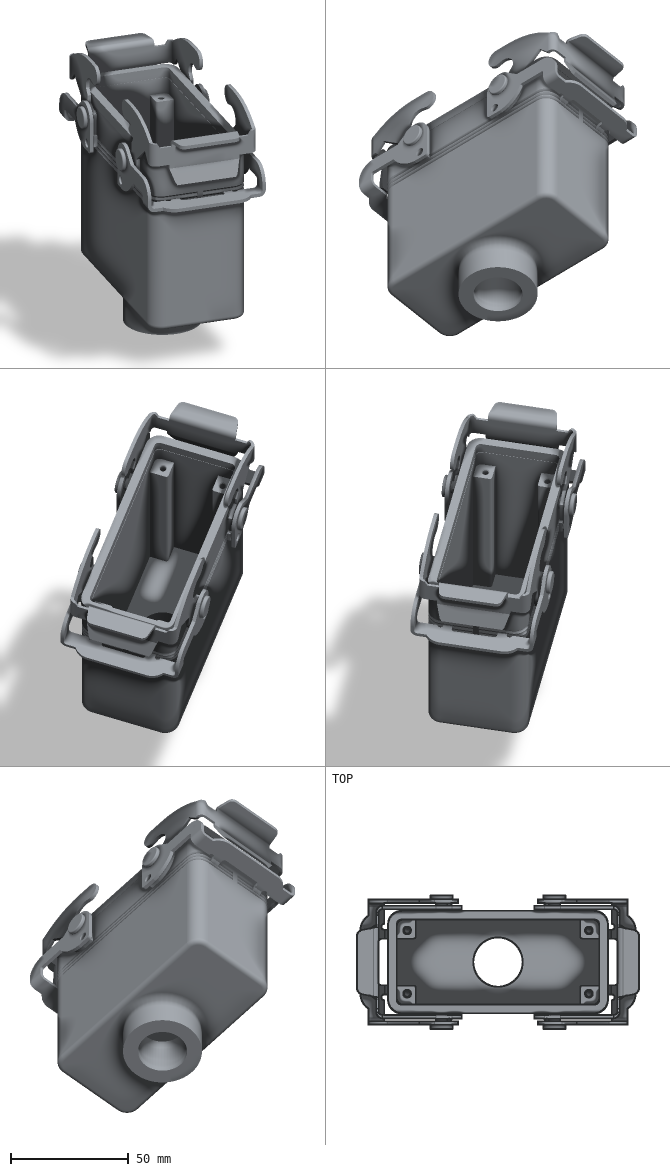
import cadquery as cq
import math


HOUSING_LENGTH = 93.3
HOUSING_WIDTH = 43.4
HOUSING_BOTTOM = 16.2
HOUSING_TOP = 96.7
CORNER_RADIUS = 6.2
BOTTOM_FILLET = 2.0
WALL = 3.7
FLOOR = 4.0
RIM_HEIGHT = 4.7
RIM_STEP = 0.1
RIM_CORNER_STEP = 0.4

SPIGOT_RADIUS = 16.8
SPIGOT_FILLET = 2.4
BORE_RADIUS = 10.4

BOSS_SIZE = 8.0
BOSS_DROP = 11.9
BOSS_CORNER_RADIUS = 1.1
SCREW_X = 38.6
SCREW_Y = 13.4
SCREW_HOLE_RADIUS = 1.7
SCREW_HOLE_DEPTH = 14.4
SCREW_CONE_DEPTH = 1.0
SCREW_CHAMFER = 0.4

GROOVE_COUNT = 3
GROOVE_TOP = 78.3
GROOVE_PITCH = 2.0
GROOVE_WIDTH = 1.7
GROOVE_DEPTH = 0.7
GROOVE_FLOOR = 0.2
GROOVE_BREAK = 2.5

PIVOT_X = -24.0
PIVOT_Z = 87.8
SHEET = 1.5

LATCH_HALF_WIDTH = 24.0
LATCH_OUTER_X = -51.8
LATCH_WEB = 1.1
LATCH_BEND_RADIUS = 3.0
LATCH_INNER_BEND = 1.4
LATCH_TOP = 105.3
LATCH_BOTTOM = 95.0
LEG_BOTTOM = 75.6
WEB_TOP = 103.3
WEB_TOP_HALF_WIDTH = 19.9
WEB_RELIEF_HALF_WIDTH = 21.2

HOOK_TOP = 113.0
HOOK_BACK_START = (-26.4, HOOK_TOP)
HOOK_BACK_END = (-49.2, LATCH_TOP)
HOOK_TIP_X = -19.7
HOOK_TIP_RADIUS = 4.3
BAY_START = (-29.2, 99.0)
BAY_MIDDLE = (-27.5, 103.7)
BAY_END = (-22.2, 105.0)
NOTCH_FOOT = (-48.0, LATCH_BOTTOM)
NOTCH_APEX = (-43.8, 99.5)
LEG_REAR_X = -33.4
LEG_REAR_TOP = 91.2
LEG_REAR_BOTTOM = 86.1
LEG_ARC_MIDDLE = (-30.6, 79.0)
LEG_SHANK_X = -20.6
LEG_FOOT_X = -19.1
LEG_FOOT_TOP = 80.6
LEG_SHOULDER_Z = 90.0
NECK_X = -27.0
NECK_TOP = 96.2
NECK_BOTTOM = 92.4

TAB_TIP_X = -60.0
TAB_TOP = 106.4
TAB_HALF_WIDTH = 14.9
TAB_TIP_HALF_WIDTH = 13.2
TAB_CORNER_RADIUS = 2.6
TAB_BEND_RADIUS = 2.3
TAB_OVERLAP = 2.4

LIP_BEND_Z = 93.2
LIP_TIP_X = -55.1
LIP_TIP_Z = 86.5
LIP_TIP_WIDTH = 1.5
LIP_TIP_DROP = 0.6
LIP_HALF_WIDTH = 15.8
LIP_TIP_HALF_WIDTH = 12.8
LIP_CHAMFER_HALF_WIDTH = 14.0
LIP_CHAMFER_Z = 87.6

BAIL_HALF_WIDTH = 26.6
BAIL_OUTER_X = -55.1
BAIL_INNER_X = -48.3
BAIL_BOTTOM = 75.6
BAIL_BEND_RADIUS = 3.0
ARM_TOP = 88.9
ARM_UNDERSIDE = 81.8
ARM_SHOULDER_RADIUS = 7.9
ARM_INNER_RADIUS = 1.0
EYE_RADIUS = 7.1
EYE_RAMP_X = -33.5
EYE_START = (-27.0, 94.2)
LOBE_BOTTOM = 73.5
LOBE_ARC_MIDDLE = (-31.1, 76.4)
LOBE_ARC_END_X = -35.6
LOBE_CORNER_RADIUS = 1.2

STRIP_BULGE_X = -58.5
STRIP_BULGE_START = 19.8
STRIP_BULGE_MIDDLE = (-57.5, 17.3)
STRIP_BULGE_END = 12.6
STRIP_SLOT_X = -50.7
STRIP_SLOT_RADIUS = 1.2
FINGER_INNER_Y = 9.8
FINGER_OUTER_Y = 13.8
FINGER_TIP_X = -HOUSING_LENGTH / 2
FINGER_BEND_X = -48.1
FINGER_DROP = 0.8
NOTCH_RADIUS = 1.2

OVERALL_WIDTH = 57.0
PIN_RADIUS = 2.5
PIN_HEAD_RADIUS = 4.8
PIN_HEAD_END = OVERALL_WIDTH / 2
PIN_HEAD_FILLET = 0.5
PIN_STUD_RADIUS = 1.5

DETENT_X = -21.0
DETENT_Z = 77.0
DETENT_BASE_RADIUS = 1.4
DETENT_TOP_RADIUS = 1.0
DETENT_HOLE_RADIUS = 1.9

RIM_BOTTOM = HOUSING_TOP - RIM_HEIGHT
BOSS_TOP = HOUSING_TOP - BOSS_DROP
FLOOR_TOP = HOUSING_BOTTOM + FLOOR
CAVITY_LENGTH = HOUSING_LENGTH - 2 * WALL
CAVITY_WIDTH = HOUSING_WIDTH - 2 * WALL
PIVOT_XS = (PIVOT_X, -PIVOT_X)
BAIL_INSIDE = BAIL_HALF_WIDTH - SHEET
LATCH_INSIDE = LATCH_HALF_WIDTH - SHEET
LATCH_INNER_X = LATCH_OUTER_X + LATCH_WEB
CLEAR = 1.2


def rounded_block(length, width, bottom, top, radius):
    """Upright block centred on the Z axis with rounded vertical edges."""
    block = cq.Workplane("XY").workplane(offset=bottom).rect(length, width).extrude(top - bottom)
    return block.edges("|Z").fillet(radius)


def block_between(x0, x1, y0, y1, z0, z1):
    return cq.Workplane("XY").box(x1 - x0, y1 - y0, z1 - z0, centered=False).translate((x0, y0, z0))


def cylinder_y(x, z, radius, y_start, y_end):
    """Cylinder along Y from y_start to y_end."""
    start = cq.Vector(x, y_start, z)
    return cq.Workplane(cq.Solid.makeCylinder(radius, y_end - y_start, start, cq.Vector(0, 1, 0)))


def both_sides(solid):
    """The solid together with its mirror image in the XZ plane."""
    return solid.union(solid.mirror("XZ"))


def housing_shell():
    body = rounded_block(HOUSING_LENGTH, HOUSING_WIDTH, HOUSING_BOTTOM, RIM_BOTTOM, CORNER_RADIUS)
    body = body.faces("<Z").edges().fillet(BOTTOM_FILLET)
    rim = rounded_block(
        HOUSING_LENGTH + 2 * RIM_STEP,
        HOUSING_WIDTH + 2 * RIM_STEP,
        RIM_BOTTOM,
        HOUSING_TOP,
        CORNER_RADIUS - RIM_CORNER_STEP,
    )
    spigot = cq.Workplane("XY").circle(SPIGOT_RADIUS).extrude(FLOOR_TOP)
    body = body.union(spigot)
    neck = cq.selectors.BoxSelector(
        (-SPIGOT_RADIUS - CLEAR, -SPIGOT_RADIUS - CLEAR, HOUSING_BOTTOM - CLEAR),
        (SPIGOT_RADIUS + CLEAR, SPIGOT_RADIUS + CLEAR, HOUSING_BOTTOM + CLEAR),
    )
    return body.edges(neck).fillet(SPIGOT_FILLET).union(rim)


def cavity():
    radius = CORNER_RADIUS - WALL
    lower = rounded_block(CAVITY_LENGTH, CAVITY_WIDTH, FLOOR_TOP, RIM_BOTTOM, radius)
    upper = rounded_block(
        CAVITY_LENGTH + 2 * RIM_STEP,
        CAVITY_WIDTH + 2 * RIM_STEP,
        RIM_BOTTOM,
        HOUSING_TOP,
        radius - RIM_CORNER_STEP,
    )
    return lower.union(upper)


def corner_points(x, y):
    return [(side_x * x, side_y * y) for side_x in (-1, 1) for side_y in (-1, 1)]


def screw_bosses():
    """Square columns centred on the cavity corners; the quarter inside the cavity is the boss."""
    columns = cq.Workplane("XY").workplane(offset=HOUSING_BOTTOM)
    columns = columns.pushPoints(corner_points(CAVITY_LENGTH / 2, CAVITY_WIDTH / 2))
    columns = columns.rect(2 * BOSS_SIZE, 2 * BOSS_SIZE).extrude(BOSS_TOP - HOUSING_BOTTOM)
    return columns.edges("|Z").fillet(BOSS_CORNER_RADIUS)


def screw_holes():
    """Chamfered blind holes with a drill-point bottom."""
    hole_bottom = BOSS_TOP - SCREW_HOLE_DEPTH
    core_radius = SCREW_HOLE_RADIUS - SCREW_CHAMFER
    half_section = [
        (0, BOSS_TOP),
        (SCREW_HOLE_RADIUS, BOSS_TOP),
        (core_radius, BOSS_TOP - SCREW_CHAMFER),
        (core_radius, hole_bottom),
        (0, hole_bottom - SCREW_CONE_DEPTH),
    ]
    drill = cq.Workplane("XZ").polyline(half_section).close().revolve(360, (0, 0), (0, 1)).val()
    return cq.Workplane("XY").pushPoints(corner_points(SCREW_X, SCREW_Y)).eachpoint(drill.moved)


def groove_cutter(bottom):
    """One trapezoidal ring groove: a block around a core that narrows to the groove floor."""
    bevel = (GROOVE_WIDTH - GROOVE_FLOOR) / 2
    taper = math.degrees(math.atan(GROOVE_DEPTH / bevel))
    outline = cq.Sketch().rect(HOUSING_LENGTH, HOUSING_WIDTH).vertices().fillet(CORNER_RADIUS)
    flare = cq.Workplane("XY").workplane(offset=bottom).placeSketch(outline).extrude(bevel, taper=taper)
    middle = bottom + GROOVE_WIDTH / 2
    waist = rounded_block(
        HOUSING_LENGTH - 2 * GROOVE_DEPTH,
        HOUSING_WIDTH - 2 * GROOVE_DEPTH,
        bottom,
        bottom + GROOVE_WIDTH,
        CORNER_RADIUS - GROOVE_DEPTH,
    )
    core = waist.union(flare).union(flare.mirror("XY", (0, 0, middle)))
    ring = rounded_block(
        HOUSING_LENGTH + CLEAR, HOUSING_WIDTH + CLEAR, bottom, bottom + GROOVE_WIDTH, CORNER_RADIUS
    )
    return ring.cut(core)


def cut_grooves(housing):
    """Stacked grooves around the housing, broken at the middle of each end."""
    gap = cq.Workplane("XY").box(2 * HOUSING_LENGTH, GROOVE_BREAK, 2 * HOUSING_TOP)
    for index in range(GROOVE_COUNT):
        bottom = GROOVE_TOP - GROOVE_WIDTH - index * GROOVE_PITCH
        housing = housing.cut(groove_cutter(bottom).cut(gap))
    return housing


def make_housing():
    housing = housing_shell().cut(cavity().cut(screw_bosses()))
    housing = housing.cut(cq.Workplane("XY").circle(BORE_RADIUS).extrude(FLOOR_TOP))
    housing = cut_grooves(housing.cut(screw_holes()))
    for x in PIVOT_XS:
        housing = housing.cut(cylinder_y(x, PIVOT_Z, PIN_STUD_RADIUS, -HOUSING_WIDTH, HOUSING_WIDTH))
    return housing


def latch_side_profile():
    tip_z = HOOK_TOP - HOOK_TIP_RADIUS
    outline = (
        cq.Workplane("XZ")
        .moveTo(HOOK_TIP_X, HOOK_TOP)
        .lineTo(*HOOK_BACK_START)
        .tangentArcPoint(HOOK_BACK_END, relative=False)
        .lineTo(LATCH_OUTER_X, LATCH_TOP)
        .lineTo(LATCH_OUTER_X, LATCH_BOTTOM)
        .lineTo(*NOTCH_FOOT)
        .lineTo(*NOTCH_APEX)
        .lineTo(LEG_REAR_X, LEG_REAR_TOP)
        .lineTo(LEG_REAR_X, LEG_REAR_BOTTOM)
        .threePointArc(LEG_ARC_MIDDLE, (PIVOT_X, LEG_BOTTOM))
        .lineTo(LEG_FOOT_X, LEG_BOTTOM)
        .lineTo(LEG_FOOT_X, LEG_FOOT_TOP)
        .lineTo(LEG_SHANK_X, LEG_FOOT_TOP)
        .lineTo(LEG_SHANK_X, LEG_SHOULDER_Z)
        .lineTo(NECK_X, NECK_BOTTOM)
        .lineTo(NECK_X, NECK_TOP)
        .lineTo(*BAY_START)
        .threePointArc(BAY_MIDDLE, BAY_END)
        .lineTo(HOOK_TIP_X, tip_z - HOOK_TIP_RADIUS)
        .threePointArc((HOOK_TIP_X + HOOK_TIP_RADIUS, tip_z), (HOOK_TIP_X, HOOK_TOP))
        .close()
    )
    return outline.extrude(LATCH_HALF_WIDTH, both=True)


def latch_bracket():
    outer = block_between(LATCH_OUTER_X, 0, -LATCH_HALF_WIDTH, LATCH_HALF_WIDTH, 0, HOOK_TOP)
    outer = outer.edges("|Z and <X").fillet(LATCH_BEND_RADIUS)
    inner = block_between(LATCH_INNER_X, 0, -LATCH_INSIDE, LATCH_INSIDE, 0, HOOK_TOP)
    inner = inner.edges("|Z and <X").fillet(LATCH_INNER_BEND)
    relief = (
        cq.Workplane("YZ")
        .workplane(offset=LATCH_OUTER_X)
        .polyline(
            [
                (-WEB_TOP_HALF_WIDTH, WEB_TOP),
                (WEB_TOP_HALF_WIDTH, WEB_TOP),
                (WEB_RELIEF_HALF_WIDTH, LATCH_TOP),
                (-WEB_RELIEF_HALF_WIDTH, LATCH_TOP),
            ]
        )
        .close()
        .extrude(LATCH_BEND_RADIUS)
    )
    return outer.cut(inner).intersect(latch_side_profile()).cut(relief)


def latch_tab():
    """Finger tab bent outward from the top of the web."""
    section = (
        cq.Workplane("XZ")
        .polyline(
            [
                (TAB_TIP_X, TAB_TOP),
                (LATCH_INNER_X, TAB_TOP),
                (LATCH_INNER_X, WEB_TOP - TAB_OVERLAP),
                (LATCH_OUTER_X, WEB_TOP - TAB_OVERLAP),
                (LATCH_OUTER_X, TAB_TOP - SHEET),
                (TAB_TIP_X, TAB_TOP - SHEET),
            ]
        )
        .close()
        .extrude(TAB_HALF_WIDTH, both=True)
        .edges("|Y and >X and >Z")
        .fillet(TAB_BEND_RADIUS)
    )
    inside_bend = cq.selectors.NearestToPointSelector((LATCH_OUTER_X, 0, TAB_TOP - SHEET))
    section = section.edges("|Y").edges(inside_bend).fillet(TAB_BEND_RADIUS - SHEET)
    plan = (
        cq.Workplane("XY")
        .polyline(
            [
                (TAB_TIP_X, -TAB_TIP_HALF_WIDTH),
                (LATCH_OUTER_X, -TAB_HALF_WIDTH),
                (LATCH_INNER_X, -TAB_HALF_WIDTH),
                (LATCH_INNER_X, TAB_HALF_WIDTH),
                (LATCH_OUTER_X, TAB_HALF_WIDTH),
                (TAB_TIP_X, TAB_TIP_HALF_WIDTH),
            ]
        )
        .close()
        .extrude(HOOK_TOP)
        .edges("|Z and <X")
        .fillet(TAB_CORNER_RADIUS)
    )
    return section.intersect(plan)


def latch_lip():
    """Sloping lip below the web."""
    section = (
        cq.Workplane("XZ")
        .polyline(
            [
                (LATCH_OUTER_X, LATCH_BOTTOM),
                (LATCH_OUTER_X, LIP_BEND_Z),
                (LIP_TIP_X, LIP_TIP_Z),
                (LIP_TIP_X + LIP_TIP_WIDTH, LIP_TIP_Z - LIP_TIP_DROP),
                (LATCH_INNER_X, LIP_BEND_Z),
                (LATCH_INNER_X, LATCH_BOTTOM),
            ]
        )
        .close()
        .extrude(LIP_HALF_WIDTH, both=True)
    )
    right_edge = [
        (LIP_HALF_WIDTH, LATCH_BOTTOM),
        (LIP_HALF_WIDTH, LIP_BEND_Z),
        (LIP_CHAMFER_HALF_WIDTH, LIP_CHAMFER_Z),
        (LIP_TIP_HALF_WIDTH, LIP_TIP_Z - LIP_TIP_DROP),
    ]
    left_edge = [(-y, z) for y, z in reversed(right_edge)]
    front = cq.Workplane("YZ").polyline(right_edge + left_edge).close().extrude(TAB_TIP_X)
    return section.intersect(front)


def detents():
    """Conical bumps on the legs, reaching out to the bail."""
    bump = cq.Workplane(
        cq.Solid.makeCone(
            DETENT_BASE_RADIUS,
            DETENT_TOP_RADIUS,
            BAIL_INSIDE - LATCH_HALF_WIDTH,
            cq.Vector(DETENT_X, LATCH_HALF_WIDTH, DETENT_Z),
            cq.Vector(0, 1, 0),
        )
    )
    return both_sides(bump)


def bail_arms():
    outline = (
        cq.Workplane("XZ")
        .moveTo(BAIL_OUTER_X, BAIL_BOTTOM)
        .lineTo(BAIL_OUTER_X, ARM_TOP - ARM_SHOULDER_RADIUS)
        .tangentArcPoint((BAIL_OUTER_X + ARM_SHOULDER_RADIUS, ARM_TOP), relative=False)
        .lineTo(EYE_RAMP_X, ARM_TOP)
        .lineTo(*EYE_START)
        .threePointArc((PIVOT_X, PIVOT_Z + EYE_RADIUS), (PIVOT_X + EYE_RADIUS, PIVOT_Z))
        .lineTo(PIVOT_X + EYE_RADIUS, LOBE_BOTTOM)
        .lineTo(PIVOT_X, LOBE_BOTTOM)
        .threePointArc(LOBE_ARC_MIDDLE, (LOBE_ARC_END_X, ARM_UNDERSIDE))
        .lineTo(BAIL_INNER_X, ARM_UNDERSIDE)
        .lineTo(BAIL_INNER_X, BAIL_BOTTOM)
        .close()
        .extrude(-SHEET)
    )
    outline = outline.edges("|Y and >X and <Z").fillet(LOBE_CORNER_RADIUS)
    throat = cq.selectors.NearestToPointSelector((BAIL_INNER_X, SHEET / 2, ARM_UNDERSIDE))
    outline = outline.edges("|Y").edges(throat).fillet(ARM_INNER_RADIUS)
    return both_sides(outline.translate((0, BAIL_INSIDE, 0)))


def bail_strip():
    bulge_x, bulge_y = STRIP_BULGE_MIDDLE
    strip = (
        cq.Workplane("XY")
        .workplane(offset=BAIL_BOTTOM)
        .moveTo(BAIL_INNER_X, BAIL_HALF_WIDTH)
        .lineTo(BAIL_OUTER_X, BAIL_HALF_WIDTH)
        .lineTo(BAIL_OUTER_X, STRIP_BULGE_START)
        .threePointArc(STRIP_BULGE_MIDDLE, (STRIP_BULGE_X, STRIP_BULGE_END))
        .lineTo(STRIP_BULGE_X, -STRIP_BULGE_END)
        .threePointArc((bulge_x, -bulge_y), (BAIL_OUTER_X, -STRIP_BULGE_START))
        .lineTo(BAIL_OUTER_X, -BAIL_HALF_WIDTH)
        .lineTo(BAIL_INNER_X, -BAIL_HALF_WIDTH)
        .close()
        .extrude(SHEET)
    )
    slot = block_between(STRIP_SLOT_X, 0, -FINGER_INNER_Y, FINGER_INNER_Y, 0, HOUSING_TOP)
    slot = slot.edges("|Z and <X").fillet(STRIP_SLOT_RADIUS)
    notches = (
        cq.Workplane("XY")
        .pushPoints([(BAIL_INNER_X, sy * (FINGER_OUTER_Y + NOTCH_RADIUS)) for sy in (-1, 1)])
        .circle(NOTCH_RADIUS)
        .extrude(HOUSING_TOP)
    )
    return strip.cut(slot).cut(notches)


def bail_fingers():
    """Spring fingers bent down from the strip, resting against the housing end."""
    top = BAIL_BOTTOM + SHEET
    finger = (
        cq.Workplane("XZ")
        .polyline(
            [
                (BAIL_INNER_X, BAIL_BOTTOM),
                (BAIL_INNER_X, top),
                (FINGER_BEND_X, top),
                (FINGER_TIP_X, top - FINGER_DROP),
                (FINGER_TIP_X, BAIL_BOTTOM - FINGER_DROP),
                (FINGER_BEND_X, BAIL_BOTTOM),
            ]
        )
        .close()
        .extrude(-(FINGER_OUTER_Y - FINGER_INNER_Y))
        .translate((0, FINGER_INNER_Y, 0))
    )
    return both_sides(finger)


def round_bends(body, half_width, z, radius):
    """Round the two X-direction edges where the arms meet the strip."""
    middle_x = (BAIL_OUTER_X + BAIL_INNER_X) / 2
    for y in (-half_width, half_width):
        bend = cq.selectors.NearestToPointSelector((middle_x, y, z))
        body = body.edges("|X").edges(bend).fillet(radius)
    return body


def bail():
    body = bail_arms().union(bail_strip())
    body = round_bends(body, BAIL_HALF_WIDTH, BAIL_BOTTOM, BAIL_BEND_RADIUS)
    body = round_bends(body, BAIL_INSIDE, BAIL_BOTTOM + SHEET, BAIL_BEND_RADIUS - SHEET)
    hole = cylinder_y(DETENT_X, DETENT_Z, DETENT_HOLE_RADIUS, -BAIL_HALF_WIDTH, BAIL_HALF_WIDTH)
    return body.cut(hole).union(bail_fingers())


def pivot_pins():
    head = cylinder_y(PIVOT_X, PIVOT_Z, PIN_HEAD_RADIUS, BAIL_HALF_WIDTH, PIN_HEAD_END)
    head = head.edges().fillet(PIN_HEAD_FILLET)
    shank = cylinder_y(PIVOT_X, PIVOT_Z, PIN_RADIUS, HOUSING_WIDTH / 2, BAIL_HALF_WIDTH + SHEET / 2)
    stud = cylinder_y(PIVOT_X, PIVOT_Z, PIN_STUD_RADIUS, CAVITY_WIDTH / 2, HOUSING_WIDTH / 2 + SHEET / 2)
    return both_sides(head.union(shank).union(stud))


def make_lever():
    latch = latch_bracket().union(latch_tab()).union(latch_lip()).union(detents())
    return latch.union(bail()).union(pivot_pins())


housing = make_housing()
lever = make_lever()
levers = [lever.rotate((0, 0, 0), (0, 0, 1), angle).solids().val() for angle in (0, 180)]

result = cq.Compound.makeCompound([housing.solids().val(), *levers])